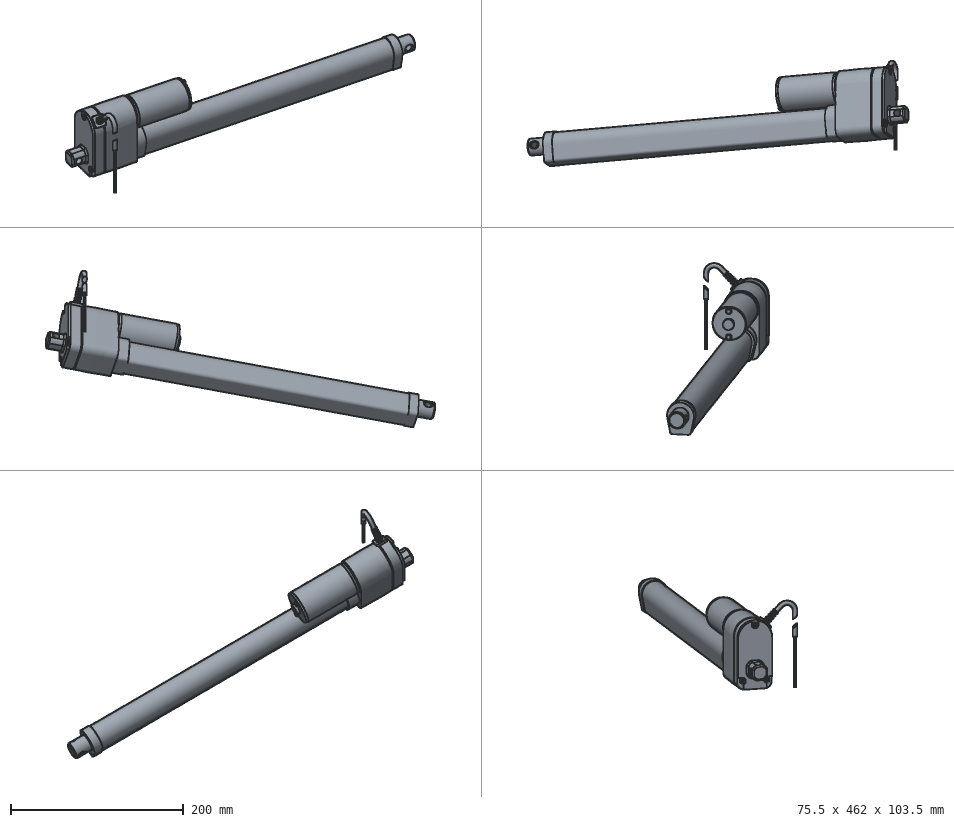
import cadquery as cq
import math


OVERALL_LENGTH = 462.0
HOUSING_REAR = 20.0
END_PLATE_FRONT = 23.0
GASKET_REAR = 35.6
GASKET_FRONT = 37.0
PARTING_PLANE = 53.6
FLANGE_REAR = 73.0
HOUSING_FRONT = 80.0
ADAPTER_FRONT = 94.0
CAP_REAR = 429.3
CAP_FRONT = 440.4

HOUSING_HALF_WIDTH = 21.0
MOTOR_HEIGHT = 37.0
HOUSING_BOTTOM = -23.9
HOUSING_CORNER = 8.5
PARTING_BULGE = 0.35
GASKET_INSET = 0.3
END_PLATE_INSET = 0.4

SCREW_RECESS_DIAMETER = 8.0
SCREW_HEAD_DIAMETER = 5.5
SCREW_HEAD_HEIGHT = 2.0
SCREW_SOCKET_DIAMETER = 2.5
SCREW_SOCKET_DEPTH = 1.5
TOP_SCREW_HEIGHT = 52.7
LOWER_SCREW_X = 15.3
LOWER_SCREW_HEIGHT = -13.4
CORNER_RELIEF_X = 13.7

MOTOR_DIAMETER = 40.0
MOTOR_CAP_DIAMETER = 39.0
MOTOR_PLATE_FRONT = 81.3
MOTOR_CAN_REAR = 84.2
MOTOR_CAN_FRONT = 151.0
MOTOR_FRONT = 153.8
MOTOR_BOSS_DIAMETER = 12.8
MOTOR_BOSS_FRONT = 157.9
MOTOR_SCREW_DIAMETER = 6.8
MOTOR_SCREW_HEIGHT = 2.6
MOTOR_SCREW_CHAMFER = 0.8
MOTOR_SCREW_OFFSET = 15.5

TUBE_RADIUS = 15.0
CAP_RADIUS = 15.9
ADAPTER_RADIUS = 18.0
TUBE_BOTTOM = -22.4
SIDE_LEAN = math.radians(11)
ADAPTER_LEAN = math.radians(14)
TUBE_CORNER = 3.5

ROD_DIAMETER = 20.0
ROD_CHAMFER = 1.4
EYE_DIAMETER = 8.0
ROD_EYE_INSET = 8.8
ROD_EYE_MOUTH_DIAMETER = 11.4

CLEVIS_DIAMETER = 20.0
CLEVIS_ACROSS_FLATS = 18.3
CLEVIS_EYE_INSET = 8.4
CLEVIS_END_LENGTH = 1.6
CLEVIS_END_INSET = 2.0
CLEVIS_ROOT_LENGTH = 2.4
CLEVIS_ROOT_FLARE = 1.7

OUTLET_AIM_HEIGHT = 36.5
CABLE_Y = 31.5
CABLE_ANGLE = math.radians(45)
OUTLET_SIZE = 14.5
OUTLET_CORNER = 2.5
OUTLET_ROOT_REACH = 10.0
OUTLET_REACH = 23.0
GLAND_ROOT_DIAMETER = 8.0
GLAND_TIP_DIAMETER = 6.8
GLAND_GROOVE_DIAMETER = 5.5
GLAND_REACH = 40.2
GLAND_GROOVES = 4

CABLE_DIAMETER = 5.5
CABLE_OUTER_X = 54.14
CABLE_TOP = 76.5
UPPER_CUT_HEIGHT = 56.7
LOWER_CUT_HEIGHT = 46.0
SHEATH_END = 33.3
WIRE_DIAMETER = 1.3
WIRE_PITCH = 1.4
WIRE_END = -27.0

cable_x = CABLE_OUTER_X - CABLE_DIAMETER / 2
cable_crest_z = CABLE_TOP - CABLE_DIAMETER / 2
bend_radius = (OUTLET_AIM_HEIGHT + cable_x - cable_crest_z) / math.sqrt(2)


def plane_at(y, x=0, z=0):
    """Work plane across the rod axis, looking forward: local x is X, local y is Z."""
    return cq.Plane(origin=(x, y, z), xDir=(1, 0, 0), normal=(0, -1, 0))


def along_rod(rear, front, diameter, x=0, z=0):
    return cq.Workplane(plane_at(front, x, z)).circle(diameter / 2).extrude(front - rear)


def housing_outline(y, outset=0):
    """Arched outline: semicircular top about the motor axis, rounded bottom corners."""
    half_width = HOUSING_HALF_WIDTH + outset
    bottom = HOUSING_BOTTOM - outset
    corner = HOUSING_CORNER + outset
    corner_x = half_width - corner
    corner_z = bottom + corner
    diagonal = corner * math.sqrt(0.5)
    return (
        cq.Workplane(plane_at(y))
        .moveTo(half_width, MOTOR_HEIGHT)
        .threePointArc((0, MOTOR_HEIGHT + half_width), (-half_width, MOTOR_HEIGHT))
        .lineTo(-half_width, corner_z)
        .threePointArc((-corner_x - diagonal, corner_z - diagonal), (-corner_x, bottom))
        .lineTo(corner_x, bottom)
        .threePointArc((corner_x + diagonal, corner_z - diagonal), (half_width, corner_z))
        .close()
    )


def housing_slice(rear, front, outset=0):
    return housing_outline(front, outset).extrude(front - rear)


def taper_between(first_outline, second_outline):
    return cq.Workplane(cq.Solid.makeLoft([first_outline.val(), second_outline.val()], True))


def drafted_half(parting, end):
    """Half of the gear case, narrowing from the parting plane to its other end."""
    return taper_between(housing_outline(parting, PARTING_BULGE), housing_outline(end))


def make_housing():
    return (
        housing_slice(HOUSING_REAR, END_PLATE_FRONT, -END_PLATE_INSET)
        .union(housing_slice(END_PLATE_FRONT, GASKET_REAR))
        .union(housing_slice(GASKET_REAR, GASKET_FRONT, -GASKET_INSET))
        .union(drafted_half(PARTING_PLANE, GASKET_FRONT))
        .union(drafted_half(PARTING_PLANE, FLANGE_REAR))
        .union(housing_slice(FLANGE_REAR, HOUSING_FRONT))
    )


def box_between(x_range, y_range, z_range):
    corner = (x_range[0], y_range[0], z_range[0])
    size = [ends[1] - ends[0] for ends in (x_range, y_range, z_range)]
    return cq.Workplane(cq.Solid.makeBox(*size, cq.Vector(*corner)))


def sink_screws(housing):
    """Open recesses in the end plate, each with a socket-head screw in it."""
    recess_radius = SCREW_RECESS_DIAMETER / 2
    depth = (HOUSING_REAR, END_PLATE_FRONT)
    housing_top = MOTOR_HEIGHT + HOUSING_HALF_WIDTH
    corner_top = LOWER_SCREW_HEIGHT + recess_radius
    screws = [
        (0, TOP_SCREW_HEIGHT),
        (-LOWER_SCREW_X, LOWER_SCREW_HEIGHT),
        (LOWER_SCREW_X, LOWER_SCREW_HEIGHT),
    ]
    openings = [
        box_between((-recess_radius, recess_radius), depth, (TOP_SCREW_HEIGHT, housing_top)),
        box_between((-HOUSING_HALF_WIDTH, -CORNER_RELIEF_X), depth, (HOUSING_BOTTOM, corner_top)),
        box_between((CORNER_RELIEF_X, HOUSING_HALF_WIDTH), depth, (HOUSING_BOTTOM, corner_top)),
    ]
    head_rear = END_PLATE_FRONT - SCREW_HEAD_HEIGHT
    for (x, z), opening in zip(screws, openings):
        recess = along_rod(*depth, SCREW_RECESS_DIAMETER, x, z).union(opening)
        head = along_rod(head_rear, END_PLATE_FRONT, SCREW_HEAD_DIAMETER, x, z)
        socket = along_rod(head_rear, head_rear + SCREW_SOCKET_DEPTH, SCREW_SOCKET_DIAMETER, x, z)
        housing = housing.cut(recess).union(head.cut(socket))
    return housing


def make_motor():
    motor = (
        along_rod(HOUSING_FRONT, MOTOR_PLATE_FRONT, MOTOR_DIAMETER, z=MOTOR_HEIGHT)
        .union(along_rod(MOTOR_PLATE_FRONT, MOTOR_FRONT, MOTOR_CAP_DIAMETER, z=MOTOR_HEIGHT))
        .union(along_rod(MOTOR_CAN_REAR, MOTOR_CAN_FRONT, MOTOR_DIAMETER, z=MOTOR_HEIGHT))
        .union(along_rod(MOTOR_FRONT, MOTOR_BOSS_FRONT, MOTOR_BOSS_DIAMETER, z=MOTOR_HEIGHT))
    )
    screw_front = MOTOR_FRONT + MOTOR_SCREW_HEIGHT
    for side in (-1, 1):
        height = MOTOR_HEIGHT + side * MOTOR_SCREW_OFFSET
        head = along_rod(MOTOR_FRONT, screw_front, MOTOR_SCREW_DIAMETER, z=height)
        motor = motor.union(head.faces(">Y").chamfer(MOTOR_SCREW_CHAMFER))
    return motor


def tube_slice(rear, front, radius, lean):
    """Round-topped section whose sides leave the circle tangentially and lean inwards."""
    tangent_x = radius * math.cos(lean)
    tangent_z = -radius * math.sin(lean)
    bottom_x = tangent_x - (tangent_z - TUBE_BOTTOM) * math.tan(lean)
    return (
        cq.Workplane(plane_at(front))
        .moveTo(tangent_x, tangent_z)
        .threePointArc((0, radius), (-tangent_x, tangent_z))
        .lineTo(-bottom_x, TUBE_BOTTOM)
        .lineTo(bottom_x, TUBE_BOTTOM)
        .close()
        .extrude(front - rear)
        .faces("<Z")
        .edges("|Y")
        .fillet(TUBE_CORNER)
    )


def make_guide_tube():
    return (
        tube_slice(HOUSING_FRONT, ADAPTER_FRONT, ADAPTER_RADIUS, ADAPTER_LEAN)
        .union(tube_slice(ADAPTER_FRONT, CAP_REAR, TUBE_RADIUS, SIDE_LEAN))
        .union(tube_slice(CAP_REAR, CAP_FRONT, CAP_RADIUS, SIDE_LEAN))
    )


def clevis_outline(y, outset=0):
    """Circle with four flats, grown outwards by an offset."""
    radius = CLEVIS_DIAMETER / 2 + outset
    flat = CLEVIS_ACROSS_FLATS / 2 + outset
    half_chord = math.sqrt(radius**2 - flat**2)
    diagonal = radius * math.sqrt(0.5)
    return (
        cq.Workplane(plane_at(y))
        .moveTo(flat, -half_chord)
        .lineTo(flat, half_chord)
        .threePointArc((diagonal, diagonal), (half_chord, flat))
        .lineTo(-half_chord, flat)
        .threePointArc((-diagonal, diagonal), (-flat, half_chord))
        .lineTo(-flat, -half_chord)
        .threePointArc((-diagonal, -diagonal), (-half_chord, -flat))
        .lineTo(half_chord, -flat)
        .threePointArc((diagonal, -diagonal), (flat, -half_chord))
        .close()
    )


def eye_hole(y):
    length = 2 * ROD_DIAMETER
    return (
        cq.Workplane("YZ", origin=(-ROD_DIAMETER, 0, 0))
        .center(y, 0)
        .circle(EYE_DIAMETER / 2)
        .extrude(length)
    )


def make_clevis():
    """Round shank with four flats, flared at the root and chamfered at the tip."""
    root_rear = HOUSING_REAR - CLEVIS_ROOT_LENGTH
    shank = clevis_outline(HOUSING_REAR).extrude(HOUSING_REAR - CLEVIS_END_LENGTH)
    tip = taper_between(clevis_outline(CLEVIS_END_LENGTH), clevis_outline(0, -CLEVIS_END_INSET))
    root = taper_between(clevis_outline(HOUSING_REAR, CLEVIS_ROOT_FLARE), clevis_outline(root_rear))
    return shank.union(tip).union(root).cut(eye_hole(CLEVIS_EYE_INSET))


def outlet_plane(reach):
    """Plane square to the cable outlet direction, a given distance from its aim point."""
    outward_x = math.cos(CABLE_ANGLE)
    outward_z = math.sin(CABLE_ANGLE)
    origin = (reach * outward_x, CABLE_Y, OUTLET_AIM_HEIGHT + reach * outward_z)
    return cq.Plane(origin=origin, xDir=(0, 1, 0), normal=(outward_x, 0, outward_z))


def make_outlet():
    sketch = cq.Sketch().rect(OUTLET_SIZE, OUTLET_SIZE).vertices().fillet(OUTLET_CORNER)
    plane = outlet_plane(OUTLET_ROOT_REACH)
    return cq.Workplane(plane).placeSketch(sketch).extrude(OUTLET_REACH - OUTLET_ROOT_REACH)


def make_actuator():
    rod_bore = along_rod(HOUSING_FRONT, CAP_FRONT, ROD_DIAMETER)
    return (
        sink_screws(make_housing())
        .union(make_outlet())
        .union(make_motor())
        .union(make_guide_tube())
        .union(make_clevis())
        .cut(rod_bore)
    )


def make_rod():
    """Plain rod filling the bore of the guide tube, with a countersunk eye at its tip."""
    rod = along_rod(HOUSING_FRONT, OVERALL_LENGTH, ROD_DIAMETER)
    rod = rod.faces(">Y").chamfer(ROD_CHAMFER)
    eye_y = OVERALL_LENGTH - ROD_EYE_INSET
    rod = rod.cut(eye_hole(eye_y))
    mouth_radius = ROD_EYE_MOUTH_DIAMETER / 2
    for side in (-1, 1):
        mouth = cq.Solid.makeCone(
            mouth_radius,
            0,
            mouth_radius,
            pnt=cq.Vector(side * ROD_DIAMETER / 2, eye_y, 0),
            dir=cq.Vector(-side, 0, 0),
        )
        rod = rod.cut(cq.Workplane(mouth))
    return rod


def vertical_cable(bottom, top):
    plane = cq.Plane(origin=(cable_x, CABLE_Y, bottom))
    return cq.Workplane(plane).circle(CABLE_DIAMETER / 2).extrude(top - bottom)


def beyond_cut(height, side):
    """Block above (side 1) or below (side -1) a 45 degree cut rising towards +X."""
    size = 4 * CABLE_DIAMETER
    plane = cq.Plane(origin=(cable_x, CABLE_Y, height), xDir=(0, 1, 0), normal=(-side, 0, side))
    return cq.Workplane(plane).rect(size, size).extrude(size)


def make_cable():
    """Ribbed gland and the cable that leaves it, bends over and hangs down to a slanted cut."""
    groove_pitch = (GLAND_REACH - OUTLET_REACH) / (GLAND_GROOVES + 0.5)
    rib = groove_pitch / 2
    root = cq.Workplane(outlet_plane(OUTLET_REACH)).circle(GLAND_ROOT_DIAMETER / 2)
    tip = cq.Workplane(outlet_plane(GLAND_REACH)).circle(GLAND_TIP_DIAMETER / 2)
    gland = taper_between(root.wire(), tip.wire())
    for index in range(GLAND_GROOVES):
        groove = (
            cq.Workplane(outlet_plane(OUTLET_REACH + rib + index * groove_pitch))
            .circle(GLAND_ROOT_DIAMETER / 2)
            .circle(GLAND_GROOVE_DIAMETER / 2)
            .extrude(rib)
        )
        gland = gland.cut(groove)

    bend_x = cable_x - bend_radius
    straight_length = (bend_x - bend_radius * math.sin(CABLE_ANGLE)) / math.cos(CABLE_ANGLE)
    bend_start = outlet_plane(straight_length)
    bend_z = bend_start.origin.z - bend_radius * math.cos(CABLE_ANGLE)
    straight = (
        cq.Workplane(outlet_plane(GLAND_REACH))
        .circle(CABLE_DIAMETER / 2)
        .extrude(straight_length - GLAND_REACH)
    )
    bend_angle = 90 + math.degrees(CABLE_ANGLE)
    bend = (
        cq.Workplane(cq.Plane(origin=(cable_x, CABLE_Y, bend_z)))
        .circle(CABLE_DIAMETER / 2)
        .revolve(bend_angle, (-bend_radius, 0, 0), (-bend_radius, -1, 0))
    )
    drop = vertical_cable(UPPER_CUT_HEIGHT - CABLE_DIAMETER, bend_z)
    drop = drop.cut(beyond_cut(UPPER_CUT_HEIGHT, -1))
    return gland.union(straight).union(bend).union(drop)


def make_lead():
    """Lower length of cable below the break, with four wires hanging from it."""
    lead = vertical_cable(SHEATH_END, LOWER_CUT_HEIGHT + CABLE_DIAMETER)
    lead = lead.cut(beyond_cut(LOWER_CUT_HEIGHT, 1))
    wires = cq.Workplane(cq.Plane(origin=(cable_x, CABLE_Y, SHEATH_END))).rarray(
        WIRE_PITCH, WIRE_PITCH, 2, 2
    )
    return lead.union(wires.circle(WIRE_DIAMETER / 2).extrude(WIRE_END - SHEATH_END))


actuator = make_actuator()
rod = make_rod()
cable = make_cable()
lead = make_lead()

result = cq.Compound.makeCompound([body.solids().val() for body in (actuator, rod, cable, lead)])